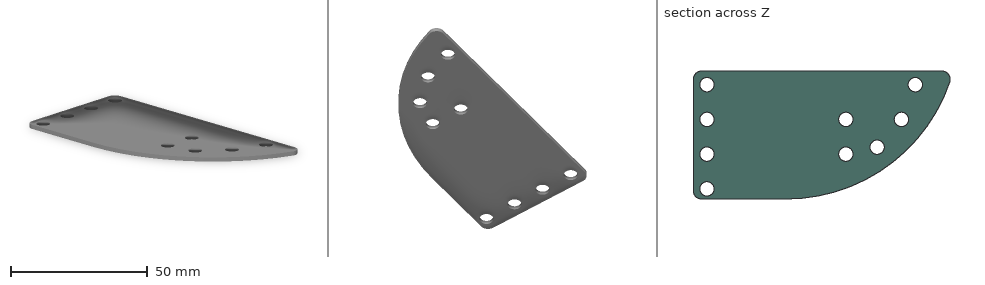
import cadquery as cq
import math

length = 94.13
width = 46.99
thickness = 1.59
corner_radius = 3.175
edge_arc_radius = 63.5

hole_diameter = 5.08
hole_pitch = 12.7
hole_inset = 5.08
left_column_count = 4
inner_column_offset = 4 * hole_pitch
inner_column_rows = (1, 2)
far_hole_offset = 6 * hole_pitch
arc_hole_offsets = [(71.12, hole_pitch), (62.23, 22.86)]

corner_x = length - corner_radius
corner_y = width - corner_radius
arc_center_y = edge_arc_radius
drop = arc_center_y - corner_y
arc_center_x = corner_x - math.sqrt((edge_arc_radius - corner_radius) ** 2 - drop**2)
arc_end_angle = -math.asin(drop / (edge_arc_radius - corner_radius))


def on_circle(center_x, center_y, radius, angle):
    """Point on a circle at an angle in radians."""
    return (center_x + radius * math.cos(angle), center_y + radius * math.sin(angle))


def make_plate():
    """Plate with a straight top, left and bottom edge and a curved right edge."""
    arc_mid_angle = (arc_end_angle - math.pi / 2) / 2
    corner_mid_angle = (arc_end_angle + math.pi / 2) / 2
    outline = (
        cq.Workplane("XY")
        .moveTo(0, 0)
        .lineTo(arc_center_x, 0)
        .threePointArc(
            on_circle(arc_center_x, arc_center_y, edge_arc_radius, arc_mid_angle),
            on_circle(arc_center_x, arc_center_y, edge_arc_radius, arc_end_angle),
        )
        .threePointArc(
            on_circle(corner_x, corner_y, corner_radius, corner_mid_angle),
            (corner_x, width),
        )
        .lineTo(0, width)
        .close()
    )
    plate = outline.extrude(thickness)
    return plate.edges("|Z and <X").fillet(corner_radius)


def hole_centers():
    """Centers of all holes, converted from offsets right and down of the upper-left hole."""
    left_column = [(0, row * hole_pitch) for row in range(left_column_count)]
    inner_column = [(inner_column_offset, row * hole_pitch) for row in inner_column_rows]
    far_hole = [(far_hole_offset, 0)]
    offsets = left_column + inner_column + far_hole + arc_hole_offsets
    return [(hole_inset + right, width - hole_inset - down) for right, down in offsets]


def make_holes():
    """Cylinders that pass through the plate at every hole center."""
    return cq.Workplane("XY").pushPoints(hole_centers()).circle(hole_diameter / 2).extrude(thickness)


result = make_plate().cut(make_holes())